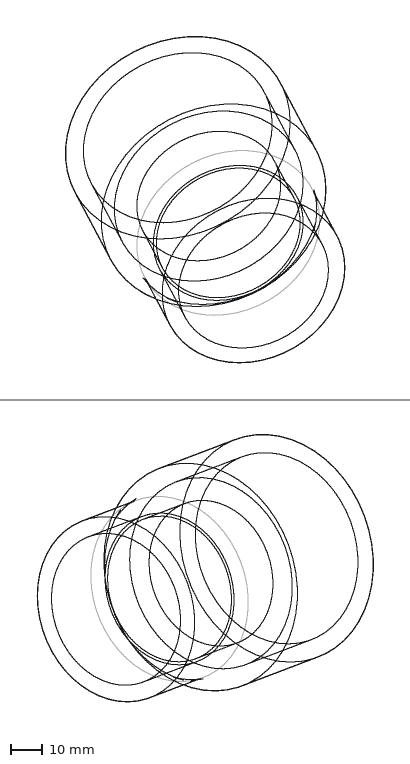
import cadquery as cq
import math

total_length = 93.0
large_outer_radius = 75.0 / 2
small_outer_radius = 61.0 / 2
large_socket_radius = 63.0 / 2
small_socket_radius = 50.0 / 2
bore_radius = 48.0 / 2

large_body_length = 44.0
small_body_length = 31.0
large_socket_depth = 38.0
small_socket_depth = small_body_length

neck_end = total_length - small_body_length
neck_length = neck_end - large_body_length
neck_step = large_outer_radius - small_outer_radius
neck_arc_radius = (neck_length**2 + neck_step**2) / (2 * neck_step)

mouth_x = -total_length / 2
large_body_end_x = mouth_x + large_body_length
neck_end_x = mouth_x + neck_end
small_end_x = mouth_x + total_length


def outer_body():
    """Solid of revolution: large body, concave neck, small body."""
    half_angle = math.asin(neck_length / neck_arc_radius) / 2
    neck_middle = (
        neck_end_x - neck_arc_radius * math.sin(half_angle),
        small_outer_radius + neck_arc_radius * (1 - math.cos(half_angle)),
    )
    profile = (
        cq.Workplane("XY")
        .moveTo(mouth_x, 0)
        .lineTo(mouth_x, large_outer_radius)
        .lineTo(large_body_end_x, large_outer_radius)
        .threePointArc(neck_middle, (neck_end_x, small_outer_radius))
        .lineTo(small_end_x, small_outer_radius)
        .lineTo(small_end_x, 0)
        .close()
    )
    return profile.revolve(360, (0, 0, 0), (1, 0, 0))


def round_cut(start_x, radius, depth):
    """Cylinder along +X used to open a socket or the bore."""
    return cq.Workplane("YZ", origin=(start_x, 0, 0)).circle(radius).extrude(depth)


large_socket = round_cut(mouth_x, large_socket_radius, large_socket_depth)
bore = round_cut(mouth_x, bore_radius, total_length)
small_socket = round_cut(small_end_x - small_socket_depth, small_socket_radius, small_socket_depth)

result = outer_body().cut(large_socket).cut(bore).cut(small_socket)